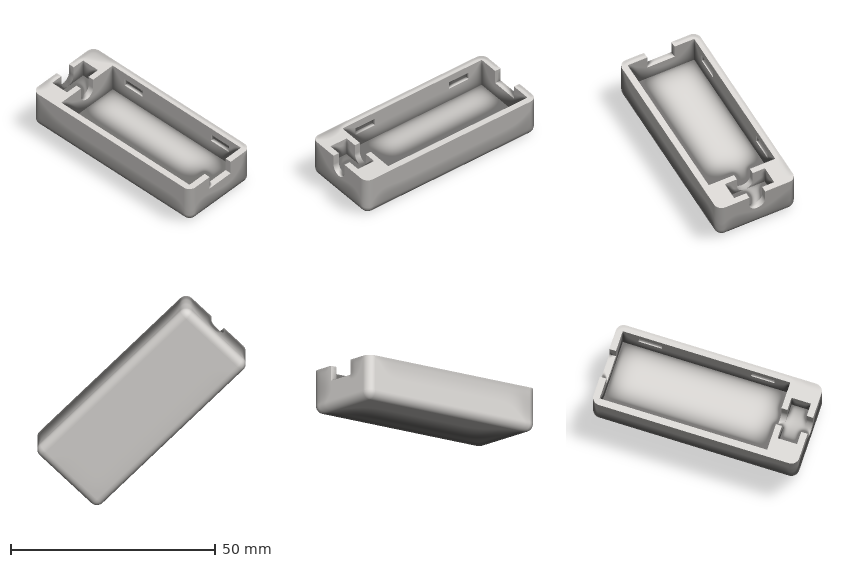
import cadquery as cq

LENGTH = 52.95
WIDTH = 21.7
HEIGHT = 10.8
EDGE_RADIUS = 2.0

WALL = 1.7
CAVITY_START = 8.15
CAVITY_DEPTH = 7.9

POCKET_WALL = 1.65
POCKET_LENGTH = 5.0
POCKET_WIDTH = 11.0
CHANNEL_WIDTH = 4.35
CHANNEL_DEPTH = 5.0

NOTCH_WIDTH = 7.5
NOTCH_DEPTH = 3.8

LATCH_LENGTH = 6.05
LATCH_HEIGHT = 2.0
LATCH_DEPTH = 1.0
LATCH_TOP_GAP = 2.0
LATCH_END_GAP = 4.0

LEFT_END = -LENGTH / 2
RIGHT_END = LENGTH / 2
CAVITY_LEFT = LEFT_END + CAVITY_START
CAVITY_RIGHT = RIGHT_END - WALL
CAVITY_WIDTH = WIDTH - 2 * WALL


def block(x_start, x_end, width, z_bottom, z_top):
    """Box symmetric about Y = 0 between the given X and Z limits."""
    box = cq.Workplane("XY").box(
        x_end - x_start, width, z_top - z_bottom, centered=(False, True, False)
    )
    return box.translate((x_start, 0, z_bottom))


def outer_body():
    """Solid block with rounded upright corners and a rounded bottom edge."""
    body = block(LEFT_END, RIGHT_END, WIDTH, 0, HEIGHT)
    return body.edges("|Z or <Z").fillet(EDGE_RADIUS)


def cavity():
    return block(CAVITY_LEFT, CAVITY_RIGHT, CAVITY_WIDTH, HEIGHT - CAVITY_DEPTH, HEIGHT)


def cable_pocket():
    """Wide pocket whose floor is level with the bottom of the cable channel."""
    pocket_left = LEFT_END + POCKET_WALL
    pocket_right = pocket_left + POCKET_LENGTH
    return block(pocket_left, pocket_right, POCKET_WIDTH, HEIGHT - CHANNEL_DEPTH, HEIGHT)


def cable_channel():
    """U-shaped channel from the -X end into the cavity."""
    radius = CHANNEL_WIDTH / 2
    axis_z = HEIGHT - CHANNEL_DEPTH + radius
    profile = (
        cq.Workplane("YZ", origin=(LEFT_END, 0, 0))
        .moveTo(-radius, HEIGHT)
        .lineTo(-radius, axis_z)
        .threePointArc((0, axis_z - radius), (radius, axis_z))
        .lineTo(radius, HEIGHT)
        .close()
    )
    return profile.extrude(CAVITY_START)


def connector_notch():
    return block(CAVITY_RIGHT, RIGHT_END, NOTCH_WIDTH, HEIGHT - NOTCH_DEPTH, HEIGHT)


def latch_pair(x_start):
    """Bar across the cavity that sinks a recess into both long walls."""
    top = HEIGHT - LATCH_TOP_GAP
    span = CAVITY_WIDTH + 2 * LATCH_DEPTH
    return block(x_start, x_start + LATCH_LENGTH, span, top - LATCH_HEIGHT, top)


result = (
    outer_body()
    .cut(cavity())
    .cut(cable_pocket())
    .cut(cable_channel())
    .cut(connector_notch())
)
for latch_start in (CAVITY_LEFT + LATCH_END_GAP, CAVITY_RIGHT - LATCH_END_GAP - LATCH_LENGTH):
    result = result.cut(latch_pair(latch_start))